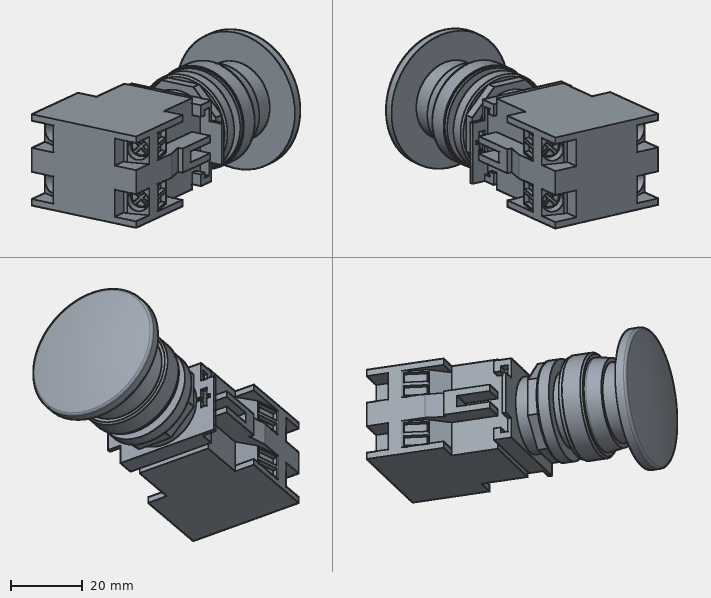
import cadquery as cq
import math


total_length = 80.5

block_half_width = 17.6
block_half_height = 13.45
waist_half_width = 11.4
waist_start = 23.1
block_length = 36.95

rib_half_height = 3.55
rib_slot_half_height = 1.6
rib_slot_start = 27.1
ramp_end = 17.55
ramp_angle = 15.0

pocket_top = 11.5
pocket_height = pocket_top - rib_half_height
pocket_center_z = (pocket_top + rib_half_height) / 2
terminal_end = 10.6
terminal_ridge = 18.0
window_length = 6.6
window_height = 2.9
window_pitch = 3.95
window_depth = 1.45

screw_pocket_wall_x = 10.4
screw_seat_inner_x = 11.5
screw_seat_inner_y = 4.5
screw_seat_outer_y = 6.5
screw_hole_diameter = 6.1
screw_hole_depth = 3.4
screw_head_diameter = 5.3
screw_head_recess = 2.9
cross_width = 0.9
cross_depth = 1.6

flange_center_x = 1.0
flange_half_width = 13.45
flange_half_height = 11.9
flange_end = 42.2
plate_thickness = 1.05
plate_half_length = 17.6
plate_tab_half_height = 6.0
flange_bar_inner_z = 10.0
hook_inner_z = 8.45
hook_length = 2.0
plate_window_outer_x = -14.5
plate_window_half_height = 3.0
plate_notch_depth = 1.0
plate_notch_height = 1.0

neck_radius = 11.0
nut_sides = 8
nut_across_flats = 25.9
nut_start = 46.55
ring_start = 49.5
ring_end = 53.5
ring_radius = 14.5
ring_chamfer = 0.6
seal_start = 56.45
collar_start = 57.6
collar_end = 63.6
collar_radius = 15.0
collar_chamfer = 0.6
cone_start = 64.1
cone_start_radius = 13.45
cone_end = 68.5
cone_end_radius = 12.7
stem_radius = 11.5

head_diameter = 40.0
head_start = 75.5
head_rim_end = 78.7
head_rim_fillet = 0.8


def box(x0, x1, y0, y1, z0, z1):
    """Box between two corners."""
    return cq.Workplane("XY").box(x1 - x0, y1 - y0, z1 - z0, centered=False).translate((x0, y0, z0))


def prism(points, z_center, height):
    """Outline in the XY plane, extruded evenly about z_center."""
    outline = cq.Workplane("XY").polyline(points).close()
    return outline.extrude(height / 2, both=True).translate((0, 0, z_center))


def disc(radius, y0, y1):
    """Cylinder on the button axis."""
    return cq.Workplane("XZ", origin=(0, y0, 0)).circle(radius).extrude(y0 - y1)


def block_blank():
    rear = box(-block_half_width, block_half_width, 0, waist_start, -block_half_height, block_half_height)
    waist = box(-waist_half_width, waist_half_width, 0, block_length, -block_half_height, block_half_height)
    rib = box(-block_half_width, block_half_width, 0, block_length, -rib_half_height, rib_half_height)
    return rear.union(waist).union(rib)


def rib_cuts():
    """Latch slot and ramped notch in the rib on the -X side."""
    slot = box(-block_half_width, -waist_half_width, rib_slot_start, block_length,
               -rib_slot_half_height, rib_slot_half_height)
    notch_depth = (waist_start - ramp_end) * math.tan(math.radians(ramp_angle))
    notch = prism([(-block_half_width, ramp_end), (-block_half_width, waist_start),
                   (-block_half_width + notch_depth, waist_start)], 0, 2 * rib_half_height)
    return slot.union(notch)


def terminal_cut():
    """Ridged terminal pocket on the -X side, with two shallow windows on its outer slope."""
    ridge_depth = (terminal_ridge - terminal_end) * math.tan(math.radians(ramp_angle))
    ridge_x = -block_half_width + ridge_depth
    pocket = prism([(-block_half_width, terminal_end), (-block_half_width, waist_start),
                    (-waist_half_width, waist_start), (ridge_x, terminal_ridge)],
                   pocket_center_z, pocket_height)
    slope_center = (-block_half_width + ridge_depth / 2, (terminal_end + terminal_ridge) / 2, pocket_center_z)
    slope_angle = math.radians(ramp_angle)
    slope = cq.Plane(origin=slope_center,
                     xDir=(math.sin(slope_angle), math.cos(slope_angle), 0),
                     normal=(-math.cos(slope_angle), math.sin(slope_angle), 0))
    windows = (cq.Workplane(slope).rarray(0.8, window_pitch, 1, 2)
               .rect(window_length, window_height).extrude(-window_depth))
    return pocket.union(windows)


def screw_cut():
    """Screw pocket on the -X side: tilted seat, round hole and a cross-slotted screw head standing in it."""
    pocket = prism([(-block_half_width, 0), (-block_half_width, screw_seat_outer_y),
                    (-screw_seat_inner_x, screw_seat_inner_y),
                    (-screw_pocket_wall_x, screw_seat_inner_y), (-screw_pocket_wall_x, 0)],
                   pocket_center_z, pocket_height)
    run = block_half_width - screw_seat_inner_x
    rise = screw_seat_outer_y - screw_seat_inner_y
    seat_center = (-(block_half_width + screw_seat_inner_x) / 2,
                   (screw_seat_outer_y + screw_seat_inner_y) / 2, pocket_center_z)
    seat = cq.Workplane(cq.Plane(origin=seat_center, xDir=(run, -rise, 0), normal=(-rise, -run, 0)))
    hole = seat.circle(screw_hole_diameter / 2).extrude(-screw_hole_depth)
    head_face = seat.workplane(offset=-screw_head_recess)
    head = head_face.circle(screw_head_diameter / 2).extrude(screw_head_recess - screw_hole_depth)
    for slot_angle in (45, 135):
        slot = head_face.transformed(rotate=(0, 0, slot_angle)).rect(screw_head_diameter, cross_width)
        head = head.cut(slot.extrude(-cross_depth))
    return pocket.union(hole.cut(head))


def contact_block():
    side_cuts = rib_cuts()
    for corner_cut in (terminal_cut(), screw_cut()):
        side_cuts = side_cuts.union(corner_cut)
        side_cuts = side_cuts.union(corner_cut.translate((0, 0, -2 * pocket_center_z)))
    return block_blank().cut(side_cuts).cut(side_cuts.mirror("YZ"))


def flange():
    """Flange with hooked bars above and below the block, and a thin plate with a tab on each side.

    The -X tab has a window with a narrow notch at both of its ends.
    """
    x0 = flange_center_x - flange_half_width
    x1 = flange_center_x + flange_half_width
    plate_start = flange_end - plate_thickness
    body = box(x0, x1, block_length, flange_end, -flange_half_height, flange_half_height)
    for outer_x, inner_x in ((x0, -waist_half_width), (x1, waist_half_width)):
        side = sorted((outer_x, inner_x))
        body = body.cut(box(*side, block_length + hook_length, plate_start,
                            -flange_bar_inner_z, flange_bar_inner_z))
        body = body.cut(box(*side, block_length, block_length + hook_length, -hook_inner_z, hook_inner_z))

    left_tab = box(flange_center_x - plate_half_length, 0, plate_start, flange_end,
                   -flange_half_height, plate_tab_half_height)
    right_tab = box(0, flange_center_x + plate_half_length, plate_start, flange_end,
                    -plate_tab_half_height, plate_tab_half_height)
    window = box(plate_window_outer_x, x0, plate_start, flange_end,
                 -plate_window_half_height, plate_window_half_height)
    notch = box(plate_window_outer_x - plate_notch_depth, x0 + plate_notch_depth, plate_start, flange_end,
                -plate_notch_height / 2, plate_notch_height / 2)
    return body.union(left_tab).union(right_tab).cut(window).cut(notch)


def barrel():
    """Stepped neck, octagonal nut, ring, collar, cone and stem."""
    neck = disc(neck_radius, flange_end, seal_start)
    nut = (cq.Workplane("XZ", origin=(0, nut_start, 0))
           .polygon(nut_sides, nut_across_flats, circumscribed=True).extrude(nut_start - ring_start))
    ring = disc(ring_radius, ring_start, ring_end).faces("<Y").chamfer(ring_chamfer)
    seal = disc(ring_radius, seal_start, collar_start)
    collar = disc(collar_radius, collar_start, collar_end).faces(">Y").chamfer(collar_chamfer)
    cone = (cq.Workplane("XY")
            .polyline([(0, collar_end), (cone_start_radius, collar_end), (cone_start_radius, cone_start),
                       (cone_end_radius, cone_end), (0, cone_end)])
            .close().revolve(360, (0, 0, 0), (0, 1, 0)))
    stem = disc(stem_radius, cone_end, head_start)
    solid = neck
    for piece in (nut, ring, seal, collar, cone, stem):
        solid = solid.union(piece)
    return solid


def mushroom_head():
    radius = head_diameter / 2
    dome_height = total_length - head_rim_end
    dome_radius = (radius ** 2 + dome_height ** 2) / (2 * dome_height)
    mid_x = radius / 2
    mid_y = total_length - dome_radius + math.sqrt(dome_radius ** 2 - mid_x ** 2)
    head = (cq.Workplane("XY").moveTo(0, head_start).lineTo(radius, head_start).lineTo(radius, head_rim_end)
            .threePointArc((mid_x, mid_y), (0, total_length)).close()
            .revolve(360, (0, 0, 0), (0, 1, 0)))
    rim = cq.selectors.NearestToPointSelector((0, head_rim_end, 0))
    return head.edges(rim).fillet(head_rim_fillet)


result = contact_block().union(flange()).union(barrel()).union(mushroom_head())